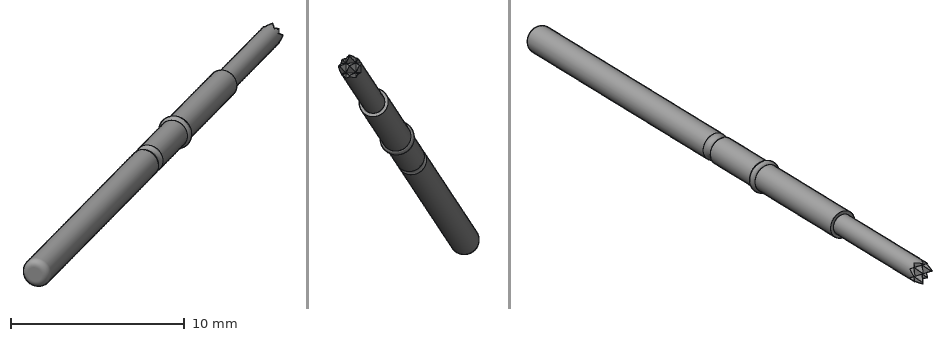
import cadquery as cq
import math

OVERALL_LENGTH = 38.4
PLUNGER_LENGTH = 8.0
BARREL_LENGTH = OVERALL_LENGTH - PLUNGER_LENGTH

BARREL_RADIUS = 0.85
PLUNGER_RADIUS = 0.65

TAIL_ROUND = 0.4

RING_RADIUS = 1.0
RING_WIDTH = 0.5
RING_SETBACK = 7.75
RING_CENTER = BARREL_LENGTH - RING_SETBACK

CRIMP_CENTER = 18.1
CRIMP_WIDTH = 0.7
CRIMP_DEPTH = 0.15

CUTS_PER_DIRECTION = 2
CUT_PITCH = 0.58
CUT_ANGLE = 60
CUT_DEPTH = CUT_PITCH / 2 / math.tan(math.radians(CUT_ANGLE / 2))


def make_barrel():
    """Turned barrel with rounded tail, crimp groove and press ring."""
    crimp_start = CRIMP_CENTER - CRIMP_WIDTH / 2
    crimp_end = CRIMP_CENTER + CRIMP_WIDTH / 2
    ring_start = RING_CENTER - RING_WIDTH / 2
    ring_end = RING_CENTER + RING_WIDTH / 2
    return (
        cq.Workplane("XY")
        .lineTo(BARREL_RADIUS - TAIL_ROUND, 0)
        .radiusArc((BARREL_RADIUS, TAIL_ROUND), -TAIL_ROUND)
        .lineTo(BARREL_RADIUS, crimp_start)
        .threePointArc((BARREL_RADIUS - CRIMP_DEPTH, CRIMP_CENTER), (BARREL_RADIUS, crimp_end))
        .lineTo(BARREL_RADIUS, ring_start)
        .threePointArc((RING_RADIUS, RING_CENTER), (BARREL_RADIUS, ring_end))
        .lineTo(BARREL_RADIUS, BARREL_LENGTH)
        .lineTo(0, BARREL_LENGTH)
        .close()
        .revolve(360, (0, 0, 0), (0, 1, 0))
    )


def make_crown_cuts():
    """V-shaped bars that run along Z, side by side across X."""
    tip = OVERALL_LENGTH
    first_center = -CUT_PITCH * (CUTS_PER_DIRECTION - 1) / 2
    cuts = []
    for index in range(CUTS_PER_DIRECTION):
        center = first_center + index * CUT_PITCH
        cut = (
            cq.Workplane("XY")
            .moveTo(center - CUT_PITCH / 2, tip)
            .lineTo(center, tip - CUT_DEPTH)
            .lineTo(center + CUT_PITCH / 2, tip)
            .close()
            .extrude(PLUNGER_RADIUS, both=True)
        )
        cuts.append(cut)
    return cuts


def make_plunger():
    """Round plunger with a crown of sharp points at its tip."""
    plunger = (
        cq.Workplane("XZ", origin=(0, BARREL_LENGTH, 0))
        .circle(PLUNGER_RADIUS)
        .extrude(-PLUNGER_LENGTH)
    )
    for cut in make_crown_cuts():
        plunger = plunger.cut(cut)
        plunger = plunger.cut(cut.rotate((0, 0, 0), (0, 1, 0), 90))
    return plunger


result = make_barrel().union(make_plunger())